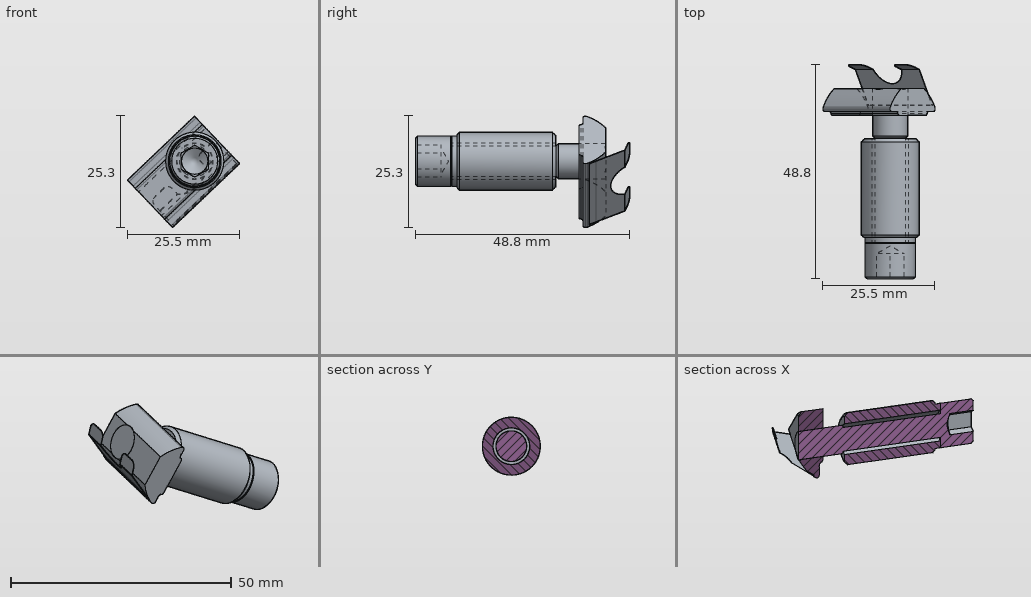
import cadquery as cq
import math


head_diameter = 11.5
head_length = 8.2
head_face_chamfer = 0.55
head_seat_chamfer = 0.15
thread_diameter = 8.0
neck_diameter = 7.0
thread_start = 32.05
socket_width = 6.3
socket_depth = 5.85
drill_point_diameter = 5.95
drill_point_angle = 120.0

sleeve_diameter = 13.2
sleeve_bore = 8.3
sleeve_start = 9.45
sleeve_end = 31.95
sleeve_seat_chamfer = 0.15
sleeve_rear_chamfer = 0.6
sleeve_front_chamfer = 0.8

nut_angle = 43.6
nut_length = 21.05
nut_long_end = 14.05
nut_half_width = 7.45
nut_bottom = 37.2
nut_top = 43.3
nut_top_half_width = 3.75
nut_foot_half_width = 4.4
nut_foot_height = 0.5
nut_foot_round = 0.45
nut_step_half_width = 5.55
nut_step_height = 0.9
nut_foot_fillet = 0.65
nut_lip_half_width = 6.9
nut_lip_height = 1.45
nut_side_half_width = 7.35
nut_side_height = 1.9
nut_side_radius = 11.7

clip_width = 20.05
tab_width = 5.55
tab_corner_radius = 1.45
foot_y = 39.5
foot_offset = -6.9
fold_y = 47.6
fold_offset = -2.7
tip_y = 48.65
tip_offset = 0.45
sheet_shift_y = 0.1
sheet_shift_offset = -0.1
cutout_depth = 3.15
cut_clearance = 0.5

nut_centre = nut_length / 2 - nut_long_end


def turned(points):
    """Revolve a (radius, y) outline about the Y axis."""
    return cq.Workplane("XY").polyline(points).close().revolve(360, (0, 0, 0), (0, 1, 0))


def extruded_along_nut(sketch, length):
    """Extrude a YZ outline along the nut, centred on it."""
    return sketch.extrude(length / 2, both=True).translate((nut_centre, 0, 0))


def turn_to_nut(body):
    """Turn a body built along X to the angle of the nut."""
    return body.rotate((0, 0, 0), (0, 1, 0), -nut_angle)


def make_bolt():
    head_radius = head_diameter / 2
    neck_radius = neck_diameter / 2
    thread_radius = thread_diameter / 2
    thread_chamfer = thread_radius - neck_radius
    bolt = turned([
        (0, 0),
        (head_radius - head_face_chamfer, 0),
        (head_radius, head_face_chamfer),
        (head_radius, head_length - head_seat_chamfer),
        (head_radius - head_seat_chamfer, head_length),
        (neck_radius, head_length),
        (neck_radius, thread_start),
        (thread_radius, thread_start + thread_chamfer),
        (thread_radius, nut_top),
        (0, nut_top),
    ])
    return bolt.cut(make_socket())


def make_socket():
    """Hexagon with two vertical flats and a drill point at its floor."""
    corner_diameter = socket_width / math.cos(math.radians(30))
    hexagon = (
        cq.Workplane("XZ")
        .polygon(6, corner_diameter)
        .extrude(-socket_depth)
        .rotate((0, 0, 0), (0, 1, 0), 30)
    )
    drill_radius = drill_point_diameter / 2
    drill_height = drill_radius / math.tan(math.radians(drill_point_angle / 2))
    drill_point = turned([(0, socket_depth), (drill_radius, socket_depth), (0, socket_depth + drill_height)])
    return hexagon.union(drill_point)


def make_sleeve():
    outer = sleeve_diameter / 2
    bore = sleeve_bore / 2
    pilot = head_diameter / 2
    return turned([
        (bore, head_length),
        (pilot - sleeve_seat_chamfer, head_length),
        (pilot, head_length + sleeve_seat_chamfer),
        (pilot, sleeve_start),
        (outer - sleeve_rear_chamfer, sleeve_start),
        (outer, sleeve_start + sleeve_rear_chamfer),
        (outer, sleeve_end - sleeve_front_chamfer),
        (outer - sleeve_front_chamfer, sleeve_end),
        (bore, sleeve_end),
    ])


def make_seat_for_clip():
    """Wedge outside the sheet that leaves a flat seat on the rounded side of the nut."""
    slope = (fold_offset - foot_offset) / (fold_y - foot_y)
    top_offset = foot_offset + slope * (nut_top - foot_y)
    outline = cq.Workplane("YZ").polyline([
        (foot_y, foot_offset),
        (nut_top, top_offset),
        (nut_top, -nut_half_width),
        (foot_y, -nut_half_width),
    ]).close()
    return extruded_along_nut(outline, clip_width)


def make_nut():
    foot_top = (nut_bottom + nut_foot_height, nut_foot_half_width + nut_foot_round)
    step = nut_bottom + nut_step_height
    lip_tip = (nut_bottom + nut_lip_height, nut_half_width)
    side_start = (nut_bottom + nut_side_height, nut_side_half_width)
    half_outline = (
        cq.Workplane("YZ")
        .moveTo(nut_bottom, 0)
        .lineTo(nut_bottom, nut_foot_half_width)
        .radiusArc(foot_top, nut_foot_height)
        .radiusArc((step, nut_step_half_width), -nut_foot_fillet)
        .lineTo(step, nut_lip_half_width)
        .radiusArc(lip_tip, nut_lip_height - nut_step_height)
        .lineTo(*side_start)
        .radiusArc((nut_top, nut_top_half_width), nut_side_radius)
        .lineTo(nut_top, 0)
        .close()
    )
    half_nut = extruded_along_nut(half_outline, nut_length)
    blank = half_nut.union(half_nut.mirror("XY"))
    nut = blank.cut(make_seat_for_clip())
    threaded_hole = turned([
        (0, nut_bottom),
        (thread_diameter / 2, nut_bottom),
        (thread_diameter / 2, nut_top),
        (0, nut_top),
    ])
    return turn_to_nut(nut).cut(threaded_hole)


def make_clip():
    inner_face = [(foot_y, foot_offset), (fold_y, fold_offset), (tip_y, tip_offset)]
    outer_face = [(y + sheet_shift_y, offset + sheet_shift_offset) for y, offset in inner_face]
    section = cq.Workplane("YZ").polyline(inner_face + outer_face[::-1]).close()
    clip = extruded_along_nut(section, clip_width).cut(make_cutout())
    return turn_to_nut(clip.intersect(make_clip_plan()))


def make_cutout():
    """Round-bottomed opening that splits the upper part of the clip into two tabs."""
    half_width = clip_width / 2 - tab_width
    above_tip = tip_y + cut_clearance
    return (
        cq.Workplane("XY")
        .moveTo(nut_centre - half_width, above_tip)
        .lineTo(nut_centre - half_width, fold_y)
        .threePointArc((nut_centre, fold_y - cutout_depth), (nut_centre + half_width, fold_y))
        .lineTo(nut_centre + half_width, above_tip)
        .close()
        .extrude(nut_half_width, both=True)
    )


def make_clip_plan():
    """Envelope of the clip along Y, with the corners of both tab tips rounded."""
    depth = tip_offset + nut_half_width
    tab_spacing = clip_width - tab_width
    tabs = (
        cq.Workplane("XZ")
        .pushPoints([(nut_centre - tab_spacing / 2, 0), (nut_centre + tab_spacing / 2, 0)])
        .rect(tab_width, depth)
        .extrude(-tip_y - cut_clearance)
        .translate((0, 0, tip_offset - depth / 2))
        .edges("|Y and >Z")
        .fillet(tab_corner_radius)
    )
    plate = (
        cq.Workplane("XZ")
        .center(nut_centre, fold_offset - nut_half_width / 2)
        .rect(clip_width, nut_half_width)
        .extrude(-tip_y - cut_clearance)
    )
    return tabs.union(plate)


bolt = make_bolt()
sleeve = make_sleeve()
nut = make_nut()
clip = make_clip()

result = cq.Compound.makeCompound([body.solids().val() for body in (bolt, sleeve, nut, clip)])